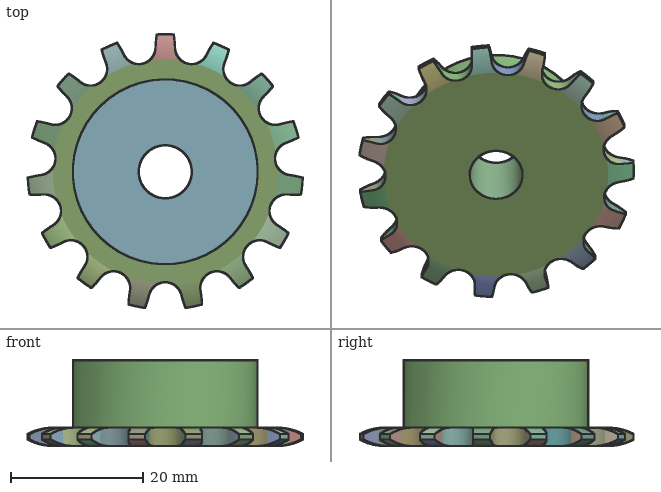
import cadquery as cq
import math

total_height = 13.0
hub_diameter = 28.0
bore_diameter = 8.0

tooth_count = 15
tip_radius = 41.7 / 2
plate_thickness = 2.8
side_arc_radius = 8.0
side_arc_start_radius = 17.0

chain_pitch = 8.0
seat_radius = 2.5
seat_half_angle = math.radians(76)
flank_radius = 16.65
tooth_angle = 360 / tooth_count
pitch_radius = chain_pitch / (2 * math.sin(math.pi / tooth_count))
flank_end_angle = math.radians(64)


def toothed_blank():
    """Disc whose two sides curve symmetrically toward a narrow rim."""
    side_run = tip_radius - side_arc_start_radius
    half_run = side_run / 2

    def drop(run):
        return side_arc_radius - math.sqrt(side_arc_radius**2 - run**2)

    middle_radius = side_arc_start_radius + half_run
    return (
        cq.Workplane("XZ")
        .lineTo(side_arc_start_radius, 0)
        .threePointArc((middle_radius, drop(half_run)), (tip_radius, drop(side_run)))
        .lineTo(tip_radius, plate_thickness - drop(side_run))
        .threePointArc(
            (middle_radius, plate_thickness - drop(half_run)),
            (side_arc_start_radius, plate_thickness),
        )
        .lineTo(0, plate_thickness)
        .close()
        .revolve(360, (0, 0, 0), (0, 1, 0))
    )


def gap_cutter():
    """Prism of one tooth gap, opening along +X."""

    def seat_point(angle):
        return (
            pitch_radius - seat_radius * math.cos(angle),
            seat_radius * math.sin(angle),
        )

    centre_distance = seat_radius + flank_radius
    centre_x = pitch_radius - centre_distance * math.cos(seat_half_angle)
    centre_y = centre_distance * math.sin(seat_half_angle)

    def flank_point(angle, side):
        return (
            centre_x + flank_radius * math.cos(angle),
            side * (centre_y - flank_radius * math.sin(angle)),
        )

    flank_middle_angle = (seat_half_angle + flank_end_angle) / 2
    return (
        cq.Workplane("XY")
        .moveTo(*flank_point(flank_end_angle, -1))
        .threePointArc(flank_point(flank_middle_angle, -1), seat_point(-seat_half_angle))
        .threePointArc(seat_point(0), seat_point(seat_half_angle))
        .threePointArc(flank_point(flank_middle_angle, 1), flank_point(flank_end_angle, 1))
        .close()
        .extrude(plate_thickness)
    )


plate = toothed_blank()
gap = gap_cutter()

first_gap_angle = 90 + tooth_angle / 2
for index in range(tooth_count):
    gap_angle = first_gap_angle + index * tooth_angle
    plate = plate.cut(gap.rotate((0, 0, 0), (0, 0, 1), gap_angle))

hub = cq.Workplane("XY").circle(hub_diameter / 2).extrude(total_height)
bore = cq.Workplane("XY").circle(bore_diameter / 2).extrude(total_height)

result = plate.union(hub).cut(bore)